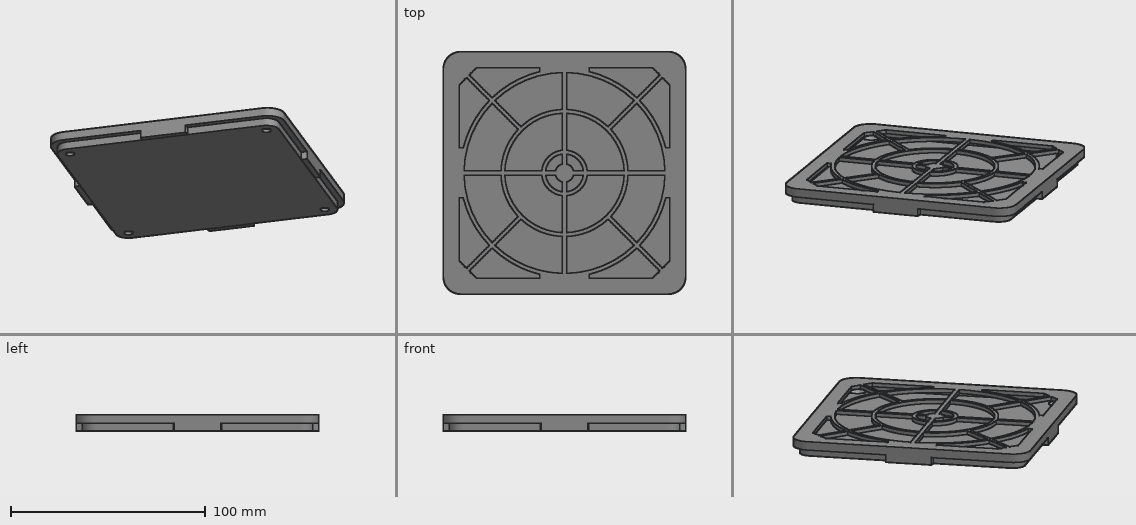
import cadquery as cq
import math

side = 124.5
total_height = 8.5
base_height = 4.0
grille_thickness = 2.0
cover_corner_radius = 9.0
base_inset = 3.1
base_corner_radius = 6.7

cavity_width = 112.0

tab_outer_width = 23.9
tab_inner_width = 24.9

ring_width = 2.0
ring_pitch = 7.0
inner_ring_radius = 10.7
ring_count = 7
middle_ring = 3
cross_bar_width = 2.5
diagonal_bar_width = 2.0
hub_radius = 4.7

window_width = 108.1
window_chamfer = 9.0
window_bridge_width = 25.6

base_opening_radius = 58.6
screw_spacing = 105.1
screw_hole_diameter = 4.5
countersink_diameter = 9.0
countersink_angle = 90.0

base_width = side - 2 * base_inset
grille_bottom = total_height - grille_thickness
ring_radii = [inner_ring_radius + ring_pitch * i for i in range(ring_count)]


def block(width, depth, bottom, top):
    """Box centred on the Z axis between two heights."""
    return cq.Workplane("XY").workplane(offset=bottom).rect(width, depth).extrude(top - bottom)


def disc(radius, bottom, top):
    """Disc centred on the Z axis between two heights."""
    return cq.Workplane("XY").workplane(offset=bottom).circle(radius).extrude(top - bottom)


def ring(mid_radius, bottom, top):
    """Ring of the common rib width about a middle radius."""
    outer = disc(mid_radius + ring_width / 2, bottom, top)
    return outer.cut(disc(mid_radius - ring_width / 2, bottom, top))


def grille_ribs(radii, reach, bottom, top):
    """Hub, rings, a full cross, and diagonal bars that start at the middle ring."""
    diagonals = block(2 * reach, diagonal_bar_width, bottom, top)
    diagonals = diagonals.union(block(diagonal_bar_width, 2 * reach, bottom, top))
    diagonals = diagonals.rotate((0, 0, 0), (0, 0, 1), 45)
    grille = diagonals.cut(disc(ring_radii[middle_ring], bottom, top))
    grille = grille.union(block(2 * reach, cross_bar_width, bottom, top))
    grille = grille.union(block(cross_bar_width, 2 * reach, bottom, top))
    grille = grille.union(disc(hub_radius, bottom, top))
    for radius in radii:
        grille = grille.union(ring(radius, bottom, top))
    return grille


def cover_opening():
    """Round opening plus the four chamfered corner windows, before the ribs cross them."""
    windows = block(window_width, window_width, grille_bottom, total_height)
    windows = windows.edges("|Z").chamfer(window_chamfer)
    windows = windows.cut(block(window_bridge_width, side, grille_bottom, total_height))
    windows = windows.cut(block(side, window_bridge_width, grille_bottom, total_height))
    return windows.union(disc(ring_radii[-1], grille_bottom, total_height))


def make_tab():
    """Tab below the -Y side of the cover, slightly wider at its inner face."""
    outer_y = -side / 2
    inner_y = outer_y + base_inset
    return (
        cq.Workplane("XY")
        .moveTo(-tab_outer_width / 2, outer_y)
        .lineTo(tab_outer_width / 2, outer_y)
        .lineTo(tab_inner_width / 2, inner_y)
        .lineTo(-tab_inner_width / 2, inner_y)
        .close()
        .extrude(base_height)
    )


def make_cover():
    """Rounded square cap with a grille on top, a cavity below it and four tabs."""
    cover = block(side, side, base_height, total_height).edges("|Z").fillet(cover_corner_radius)
    cover = cover.cut(block(cavity_width, cavity_width, base_height, grille_bottom))
    top_rings = [ring_radii[0], ring_radii[middle_ring], ring_radii[-1]]
    cover_ribs = grille_ribs(top_rings, side / math.sqrt(2), grille_bottom, total_height)
    cover = cover.cut(cover_opening().cut(cover_ribs))
    for quarter in range(4):
        cover = cover.union(make_tab().rotate((0, 0, 0), (0, 0, 1), 90 * quarter))
    return cover


def make_base():
    """Inset plate whose round ribbed opening is filled flush, with countersunk corner holes."""
    plate = block(base_width, base_width, 0, base_height).edges("|Z").fillet(base_corner_radius)
    plate = (
        plate.faces(">Z")
        .workplane()
        .rect(screw_spacing, screw_spacing, forConstruction=True)
        .vertices()
        .cskHole(screw_hole_diameter, countersink_diameter, countersink_angle)
    )
    infill = disc(base_opening_radius, 0, base_height)
    infill = infill.cut(grille_ribs(ring_radii, base_opening_radius + ring_width, 0, base_height))
    return plate.cut(infill).union(infill, clean=False)


cover = make_cover()
base = make_base()

result = cq.Compound.makeCompound([cover.solids().val(), base.solids().val()])